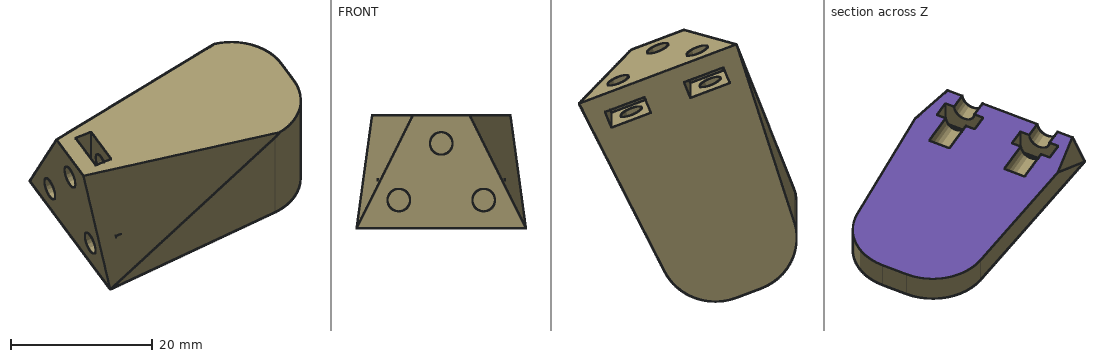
import cadquery as cq

length = 35.0
height = 16.0
front_width = 23.98
rear_width = 18.62
rear_corner_radius = 8.0

front_top_width = 8.0
slope_end_y = 28.63

hole_diameter = 3.2
hole_depth = 10.0
lower_hole_spacing = 12.0
hole_edge_distance = 4.0
slot_width = 6.0
slot_thickness = 2.5
slot_front_y = 2.52
slot_depth = hole_edge_distance + slot_width / 2


def half_width_at(y):
    """Half width of the tapered outline at distance y from the front face."""
    return (front_width + (rear_width - front_width) * y / length) / 2


def make_body():
    """Tapered prism with rounded rear corners."""
    return (
        cq.Workplane("XY")
        .polyline([
            (-front_width / 2, 0),
            (front_width / 2, 0),
            (rear_width / 2, length),
            (-rear_width / 2, length),
        ])
        .close()
        .extrude(height)
        .edges("|Z and >Y")
        .fillet(rear_corner_radius)
    )


def make_corner_cut(side):
    """Wedge outside the slope of one upper front corner; side is -1 or 1."""
    bottom = cq.Vector(side * front_width / 2, 0, 0)
    front_top = cq.Vector(side * front_top_width / 2, 0, height)
    rear_top = cq.Vector(side * half_width_at(slope_end_y), slope_end_y, height)
    outline = cq.Wire.makePolygon([bottom, front_top, rear_top], close=True)
    outward = cq.Vector(side * front_width, 0, 0)
    return cq.Solid.extrudeLinear(outline, [], outward)


def make_hole(x, z):
    """Blind bolt hole running back from the front face."""
    return cq.Workplane("XZ", origin=(x, 0, z)).circle(hole_diameter / 2).extrude(-hole_depth)


def make_slot(x, bottom_z):
    """Rectangular nut slot crossing a bolt hole."""
    return cq.Workplane("XY", origin=(x, slot_front_y, bottom_z)).box(
        slot_width, slot_thickness, slot_depth, centered=(True, False, False)
    )


result = make_body()

for side in (-1, 1):
    lower_x = side * lower_hole_spacing / 2
    result = result.cut(make_corner_cut(side))
    result = result.cut(make_hole(lower_x, hole_edge_distance))
    result = result.cut(make_slot(lower_x, 0))

result = result.cut(make_hole(0, height - hole_edge_distance))
result = result.cut(make_slot(0, height - slot_depth))